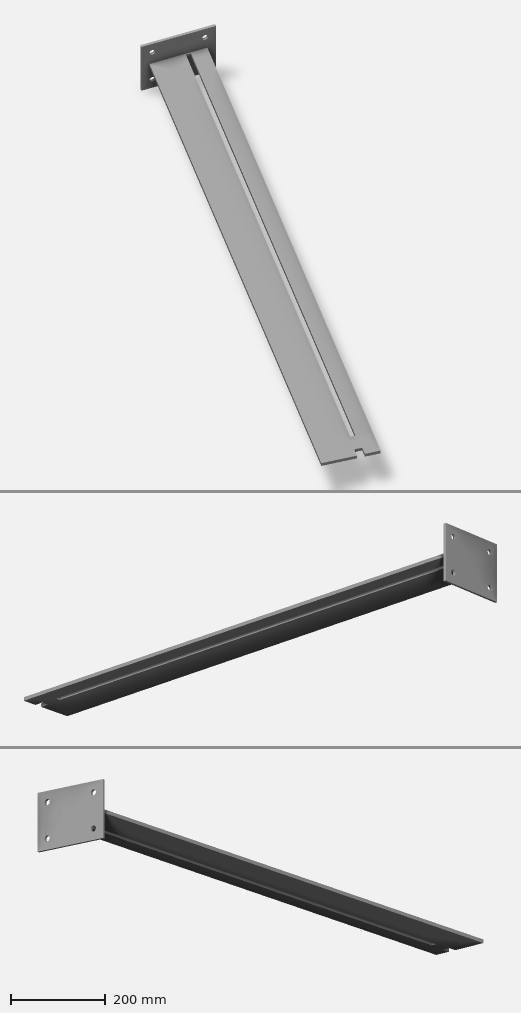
import cadquery as cq
import math

overall_length = 1262.32
lowest_y = -174.0

plate_thickness = 6.0
plate_width = 170.0
plate_height = 130.0
bolt_spacing_y = 120.0
bolt_spacing_z = 80.0
bolt_hole_diameter = 13.0

arm_angle = 4.935
arm_width = 131.0
arm_thickness = 8.0

slot_width = 17.5
slot_offset = 21.75
slot_end_margin = 55.5
notch_depth = 19.5

liner_wall = 3.0

slope = math.tan(math.radians(arm_angle))
cosine = math.cos(math.radians(arm_angle))
arm_end = (overall_length - plate_thickness) / cosine - arm_width / 2 * slope
arm_root_y = lowest_y + arm_end * slope * cosine + arm_width / 2 * cosine
slot_bottom = slot_offset - slot_width / 2
slot_top = slot_offset + slot_width / 2
slot_end = arm_end - slot_end_margin


def bar_from_plate(u_end, v_bottom, v_top, gap=0.0):
    """Flat bar in the arm's frame whose near end lies parallel to the plate's inner face.

    The gap is the distance between that end and the plate, measured along the bar.
    """
    return (
        cq.Workplane("XY")
        .polyline([
            (gap - v_bottom * slope, v_bottom),
            (u_end, v_bottom),
            (u_end, v_top),
            (gap - v_top * slope, v_top),
        ])
        .close()
        .extrude(arm_thickness)
    )


def place_on_plate(body):
    """Turn a body from the arm's frame to its slope and set it against the plate."""
    turned = body.rotate((0, 0, 0), (0, 0, 1), -arm_angle)
    return turned.translate((plate_thickness, arm_root_y, 0))


def make_plate():
    bolt_holes = (
        cq.Workplane("YZ")
        .rect(bolt_spacing_y, bolt_spacing_z, forConstruction=True)
        .vertices()
        .circle(bolt_hole_diameter / 2)
        .extrude(plate_thickness)
    )
    blank = cq.Workplane("YZ").rect(plate_width, plate_height).extrude(plate_thickness)
    return blank.cut(bolt_holes)


def make_arm():
    slot = bar_from_plate(slot_end, slot_bottom, slot_top)
    notch = (
        cq.Workplane("XY")
        .center(arm_end, slot_offset)
        .rect(2 * notch_depth, slot_width)
        .extrude(arm_thickness)
    )
    arm = bar_from_plate(arm_end, -arm_width / 2, arm_width / 2)
    return place_on_plate(arm.cut(slot).cut(notch))


def make_liner():
    frame = bar_from_plate(slot_end, slot_bottom, slot_top)
    opening = bar_from_plate(
        slot_end - liner_wall,
        slot_bottom + liner_wall,
        slot_top - liner_wall,
        liner_wall,
    )
    return place_on_plate(frame.cut(opening))


plate = make_plate()
arm = make_arm()
liner = make_liner()

result = cq.Compound.makeCompound([plate.val(), arm.val(), liner.val()])